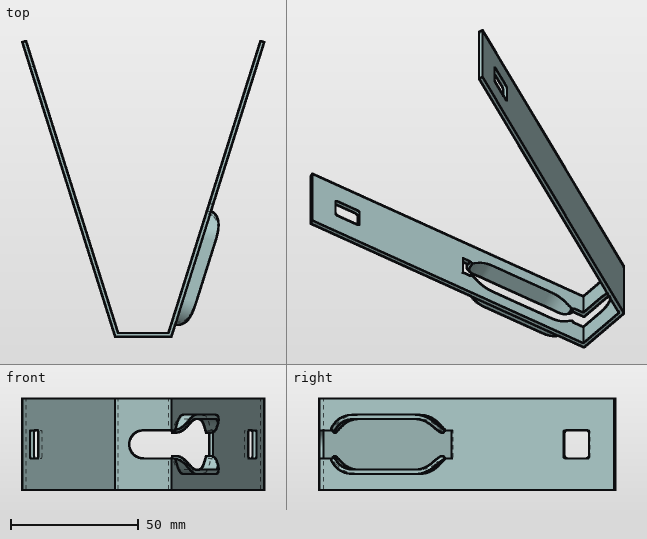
import cadquery as cq
import math

overall_width = 94.9
overall_depth = 116.0
strip_height = 36.0
thickness = 1.6
splay = 17.5

sin_splay = math.sin(math.radians(splay))
cos_splay = math.cos(math.radians(splay))
leg_length = (overall_depth - thickness * sin_splay) / cos_splay
base_half = overall_width / 2 - leg_length * sin_splay

opening_width = 10.9
square_length = 10.4
square_center = 105.6
square_corner_radius = 0.9
window_end = 54.4

lip_center = 28.3
lip_flat_length = 25.8
lip_outer_half = 11.6
lip_thickness = 1.7
lip_bend_radius = 11.0
lip_bend_angle = math.radians(45)
lip_rise = 5.2
lip_run = 11.5

leg_plane = cq.Plane(
    origin=(base_half, 0, 0),
    xDir=(sin_splay, cos_splay, 0),
    normal=(cos_splay, -sin_splay, 0),
)


def make_strip():
    inner_half = base_half - thickness * (1 - sin_splay) / cos_splay
    outer_tip = (base_half + leg_length * sin_splay, leg_length * cos_splay)
    inner_tip = (outer_tip[0] - thickness * cos_splay, overall_depth)
    right_half = [(base_half, 0), outer_tip, inner_tip, (inner_half, thickness)]
    left_half = [(-x, y) for x, y in reversed(right_half)]
    outline = cq.Workplane("XY").polyline(right_half + left_half).close()
    return outline.extrude(strip_height / 2, both=True)


def leg_prism(length, center, width):
    """Block crossing the leg thickness, in the leg frame."""
    return cq.Workplane("XY").box(length, width, 4 * thickness).translate((center, 0, 0))


def lip_plan(inset):
    """Solid inside the bent lip outline, offset inward by inset."""
    half_flat = lip_flat_length / 2
    side = lip_outer_half - inset
    radius = lip_bend_radius - inset

    def on_bend(angle):
        return (half_flat + radius * math.sin(angle), side - radius * (1 - math.cos(angle)))

    middle = on_bend(lip_bend_angle / 2)
    bend_end = on_bend(lip_bend_angle)
    point = (bend_end[0] + bend_end[1] / math.tan(lip_bend_angle), 0)
    quarter = (
        cq.Workplane("XY", origin=(0, 0, -thickness))
        .moveTo(0, 0)
        .lineTo(0, side)
        .lineTo(half_flat, side)
        .threePointArc(middle, bend_end)
        .lineTo(*point)
        .close()
        .extrude(thickness + lip_rise)
    )
    half = quarter.union(quarter.mirror("YZ"))
    return half.union(half.mirror("XZ"))


def lip_end_envelope():
    """Height limit: full up to the bend, then an elliptical fall along the direction of the bent end."""
    span = 2 * lip_outer_half
    across_end = cq.Plane(
        origin=(lip_flat_length / 2, lip_outer_half, 0),
        xDir=(math.cos(lip_bend_angle), -math.sin(lip_bend_angle), 0),
        normal=(-math.sin(lip_bend_angle), -math.cos(lip_bend_angle), 0),
    )
    profile = cq.Workplane(across_end)
    full_height = profile.center(-span, 0).rect(2 * span, 2 * lip_rise).extrude(span, both=True)
    root = profile.rect(2 * lip_run, 2 * thickness).extrude(span, both=True)
    below_face = root.intersect(cq.Workplane("XY").rect(4 * span, 4 * span).extrude(-thickness))
    fall = profile.ellipse(lip_run, lip_rise).extrude(span, both=True)
    return full_height.union(fall).union(below_face)


def make_lips():
    quadrant_size = (lip_flat_length, lip_flat_length, 4 * lip_rise)
    quadrant = cq.Workplane("XY").box(*quadrant_size, centered=(False, False, True))
    ring = lip_plan(0).cut(lip_plan(lip_thickness))
    quarter = ring.intersect(quadrant).intersect(lip_end_envelope())
    half = quarter.union(quarter.mirror("YZ"))
    return half.union(half.mirror("XZ")).translate((lip_center, 0, 0))


def place_on_leg(body):
    return cq.Workplane(obj=body.val().moved(cq.Location(leg_plane)))


square_hole = leg_prism(square_length, square_center, opening_width).edges("|Z").fillet(square_corner_radius)
square_hole = place_on_leg(square_hole)
strip = make_strip().cut(square_hole).cut(square_hole.mirror("YZ"))

slot_radius = opening_width / 2
slot_depth = 4 * thickness
base_slot = (
    cq.Workplane("XZ")
    .circle(slot_radius)
    .extrude(slot_depth / 2, both=True)
    .union(cq.Workplane("XY").box(base_half, slot_depth, opening_width).translate((base_half / 2, 0, 0)))
)
leg_slot = leg_prism(window_end, window_end / 2, opening_width)
window_limit = leg_prism(window_end, window_end / 2, 2 * lip_outer_half)
window = lip_plan(lip_thickness).translate((lip_center, 0, 0)).intersect(window_limit)
strip = strip.cut(base_slot).cut(place_on_leg(leg_slot)).cut(place_on_leg(window))

result = strip.union(place_on_leg(make_lips()))